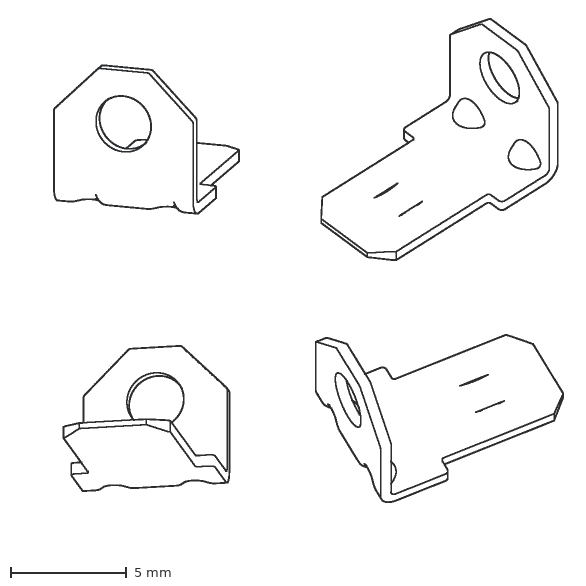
import cadquery as cq
import math

thickness = 0.508
width = 6.35
length = 9.65
height = 6.35
bend_inner_radius = 0.254
bend_outer_radius = bend_inner_radius + thickness

lug_chamfer = 2.03
lug_corner_radius = 0.18
hole_diameter = 2.51
hole_height = 3.94

blade_width = 4.72
shoulder_y = 3.32
shoulder_outer_radius = 0.2
shoulder_inner_radius = 0.13
tip_chamfer = 0.88
tip_bevel_length = 0.76
tip_bevel_depth = 0.127

detent_width = 1.57
detent_length = 1.37
detent_y = 6.46
detent_depth = 0.085

bead_x = 1.78
bead_reach = 1.86
bead_radius = 2 * thickness
bead_inner_radius = bead_radius - thickness
bead_mouth_radius = thickness
bead_half_length = 3.0


def make_angle():
    """L-shaped sheet, bent about the X direction at y = z = 0."""
    profile = (
        cq.Workplane("YZ")
        .moveTo(0, 0)
        .lineTo(length, 0)
        .lineTo(length, thickness)
        .lineTo(thickness, thickness)
        .lineTo(thickness, height)
        .lineTo(0, height)
        .close()
        .extrude(width / 2, both=True)
    )
    inner_bend = cq.selectors.NearestToPointSelector((0, thickness, thickness))
    outer_bend = cq.selectors.NearestToPointSelector((0, 0, 0))
    return profile.edges(inner_bend).fillet(bend_inner_radius).edges(outer_bend).fillet(bend_outer_radius)


def make_lug_outline():
    """Full-width block with its two upper corners cut off at 45 degrees."""
    block = cq.Workplane("XY").box(width, length, height, centered=(True, False, False))
    chamfered = block.edges("|Y and >Z").chamfer(lug_chamfer)
    return chamfered.edges("|Y").edges("not <Z").fillet(lug_corner_radius)


def make_blade_outline():
    """Plan shape: wide root, shoulders and a narrower blade with a chamfered tip."""
    root = cq.Workplane("XY").box(width, shoulder_y, height, centered=(True, False, False))
    root = root.edges("|Z and >Y").fillet(shoulder_outer_radius)
    blade = cq.Workplane("XY").box(blade_width, length, height, centered=(True, False, False))
    blade = blade.edges("|Z and >Y").chamfer(tip_chamfer)
    outline = root.union(blade)
    for side in (-1, 1):
        inner_corner = (side * blade_width / 2, shoulder_y, height / 2)
        corner_edge = outline.edges(cq.selectors.NearestToPointSelector(inner_corner))
        outline = corner_edge.fillet(shoulder_inner_radius)
    return outline


def make_tip_bevel(face_z, inward):
    """Wedge removed from one face of the blade tip; inward is +1 or -1, the Z direction into the sheet."""
    return (
        cq.Workplane("YZ")
        .moveTo(length - tip_bevel_length, face_z)
        .lineTo(length, face_z)
        .lineTo(length, face_z + inward * tip_bevel_depth)
        .close()
        .extrude(width / 2, both=True)
    )


def make_detent():
    """Shallow cylindrical groove with its axis along X."""
    half_length = detent_length / 2
    return (
        cq.Workplane("YZ")
        .moveTo(detent_y - half_length, thickness)
        .threePointArc((detent_y, thickness - detent_depth), (detent_y + half_length, thickness))
        .close()
        .extrude(detent_width / 2, both=True)
    )


def make_bead_cylinder(x, radius):
    """Cylinder along the 45 degree bead axis, running down from lug to blade."""
    axis_offset = bead_reach / 2 - bead_radius / math.sqrt(2)
    direction = cq.Vector(0, 1, -1).normalized()
    start = cq.Vector(x, axis_offset, axis_offset) - direction * bead_half_length
    return cq.Workplane(cq.Solid.makeCylinder(radius, 2 * bead_half_length, start, direction))


def add_bead(body, x):
    """Raise the bead inside the bend, dent it from outside and round the dent's mouth."""
    inside = cq.Workplane("XY").box(width, length, height, centered=(True, False, False))
    inside = inside.translate((0, thickness / 2, thickness / 2))
    body = body.union(make_bead_cylinder(x, bead_radius).intersect(inside))
    body = body.cut(make_bead_cylinder(x, bead_inner_radius))
    dent_reach = bead_reach - thickness * math.sqrt(2)
    dent_center = (x, dent_reach / 2, dent_reach / 2)
    dent_face = body.faces(cq.selectors.NearestToPointSelector(dent_center))
    return dent_face.edges().fillet(bead_mouth_radius)


body = make_angle()
for side in (-1, 1):
    body = add_bead(body, side * bead_x)

body = body.intersect(make_lug_outline()).intersect(make_blade_outline())
body = body.cut(make_tip_bevel(0, 1)).cut(make_tip_bevel(thickness, -1)).cut(make_detent())
hole = cq.Workplane("XZ").center(0, hole_height).circle(hole_diameter / 2).extrude(-thickness)
result = cq.Workplane(body.cut(hole).solids().val())